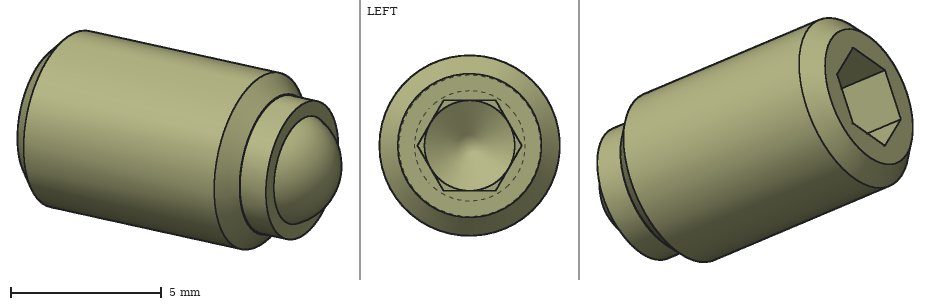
import cadquery as cq
import math

body_diameter = 6.0
body_length = 8.6
end_face_diameter = 4.773
neck_diameter = 4.7
neck_length = 1.0
ball_diameter = 4.0
ball_protrusion = 1.2
hex_sides = 6
hex_across_flats = 3.0
hex_depth = 3.0
drill_point_angle = 120.0

body_radius = body_diameter / 2
end_face_radius = end_face_diameter / 2
chamfer = body_radius - end_face_radius
neck_radius = neck_diameter / 2
neck_end = body_length + neck_length
tip = neck_end + ball_protrusion
ball_radius = ball_diameter / 2
ball_center = tip - ball_radius


def make_screw():
    """Revolve the half profile of body, neck and ball about the X axis."""
    ball_rim_angle = math.acos((neck_end - ball_center) / ball_radius)
    ball_rim_radius = ball_radius * math.sin(ball_rim_angle)
    arc_middle = (
        ball_center + ball_radius * math.cos(ball_rim_angle / 2),
        ball_radius * math.sin(ball_rim_angle / 2),
    )
    return (
        cq.Workplane("XY")
        .moveTo(0, 0)
        .lineTo(0, end_face_radius)
        .lineTo(chamfer, body_radius)
        .lineTo(body_length - chamfer, body_radius)
        .lineTo(body_length, end_face_radius)
        .lineTo(body_length, neck_radius)
        .lineTo(neck_end, neck_radius)
        .lineTo(neck_end, ball_rim_radius)
        .threePointArc(arc_middle, (tip, 0))
        .close()
        .revolve(360, (0, 0, 0), (1, 0, 0))
    )


def make_hex_socket():
    """Hexagonal prism with two corners on the Y axis."""
    across_corners = hex_across_flats / math.cos(math.pi / hex_sides)
    return cq.Workplane("YZ").polygon(hex_sides, across_corners).extrude(hex_depth)


def make_drill_point():
    """Cone at the socket floor, as wide as the hexagon's flats."""
    cone_radius = hex_across_flats / 2
    cone_depth = cone_radius / math.tan(math.radians(drill_point_angle / 2))
    return (
        cq.Workplane("XY")
        .moveTo(hex_depth, 0)
        .lineTo(hex_depth, cone_radius)
        .lineTo(hex_depth + cone_depth, 0)
        .close()
        .revolve(360, (0, 0, 0), (1, 0, 0))
    )


socket = make_hex_socket().union(make_drill_point())
result = make_screw().cut(socket)